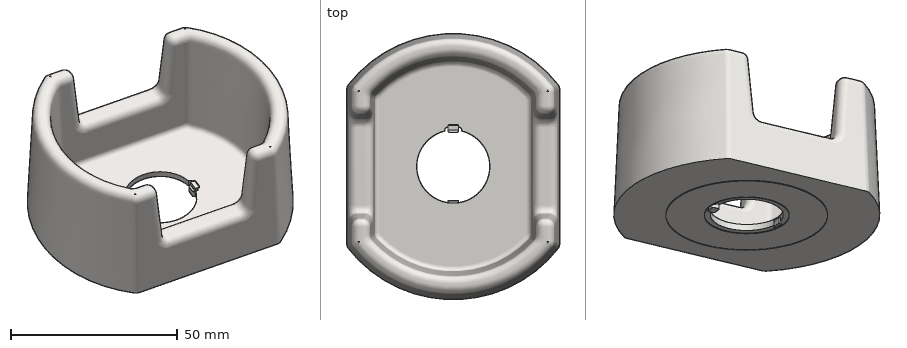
import cadquery as cq
import math

TOTAL_HEIGHT = 39.0
BODY_HEIGHT = 37.95
OUTER_RADIUS = 39.95
OUTER_WIDTH = 64.0
DRAFT_SLOPE = math.tan(math.radians(2.5))
CORNER_RADIUS = 2.5
RIM_RADIUS = 2.4

FLOOR_HEIGHT = 2.0
CAVITY_RADIUS = 31.5
CAVITY_WIDTH = 46.8
FLOOR_FILLET = 1.6

NOTCH_BOTTOM = 15.9
NOTCH_HALF_LENGTH = 14.05
NOTCH_SLOPE = math.tan(math.radians(4.6))
NOTCH_TOP_HALF_LENGTH = NOTCH_HALF_LENGTH + NOTCH_SLOPE * (BODY_HEIGHT - NOTCH_BOTTOM)

RING_OUTER_RADIUS = 48.6 / 2
RING_INNER_RADIUS = 25.5 / 2
RING_DEPTH = 0.2

HOLE_RADIUS = 10.95
KEYWAY_WIDTH = 4.95
KEYWAY_END_Y = 11.75
KEYWAY_CORNER_RADIUS = 0.6

KEY_DEPTH = TOTAL_HEIGHT - BODY_HEIGHT
KEY_WIDTH = 3.3
KEY_INNER = 10.2
KEY_OUTER = 12.6
KEY_CORNER_RADIUS = 0.55
KEY_RISE = 0.2
KEY_CHAMFER = 0.3
LIP_TOP = FLOOR_HEIGHT / 2
LIP_OUTER = HOLE_RADIUS + 0.1

REACH = 2 * OUTER_RADIUS
MARGIN = 0.8


def drafted_cup(radius, width, bottom, top, slope):
    """Cone between two flats; radius and width hold at the bottom and change upwards by the slope."""
    growth = slope * (top - bottom)
    half_width = width / 2
    cone = (
        cq.Workplane("XZ")
        .moveTo(0, bottom)
        .lineTo(radius, bottom)
        .lineTo(radius + growth, top)
        .lineTo(0, top)
        .close()
        .revolve(360, (0, 0, 0), (0, 1, 0))
    )
    wedge = (
        cq.Workplane("XZ")
        .moveTo(-half_width, bottom)
        .lineTo(half_width, bottom)
        .lineTo(half_width + growth, top)
        .lineTo(-half_width - growth, top)
        .close()
        .extrude(REACH, both=True)
    )
    cup = cone.intersect(wedge)

    middle = (bottom + top) / 2
    mid_height = cq.selectors.BoxSelector(
        (-REACH, -REACH, middle - MARGIN),
        (REACH, REACH, middle + MARGIN),
    )
    return cup.edges(mid_height).fillet(CORNER_RADIUS)


def shell():
    outer = drafted_cup(OUTER_RADIUS, OUTER_WIDTH, 0, BODY_HEIGHT, -DRAFT_SLOPE)
    cavity = drafted_cup(CAVITY_RADIUS, CAVITY_WIDTH, FLOOR_HEIGHT, BODY_HEIGHT, DRAFT_SLOPE)
    cavity = cavity.faces("<Z").edges().fillet(FLOOR_FILLET)
    return outer.cut(cavity)


def notch():
    return (
        cq.Workplane("YZ")
        .moveTo(-NOTCH_HALF_LENGTH, NOTCH_BOTTOM)
        .lineTo(NOTCH_HALF_LENGTH, NOTCH_BOTTOM)
        .lineTo(NOTCH_TOP_HALF_LENGTH, BODY_HEIGHT)
        .lineTo(-NOTCH_TOP_HALF_LENGTH, BODY_HEIGHT)
        .close()
        .extrude(REACH, both=True)
        .faces("<Z")
        .edges("|X")
        .fillet(CORNER_RADIUS)
    )


def round_rim(cup):
    """Round the top rim and the notch edges together, so the rounds blend at the tips."""
    notch_zone = cq.selectors.BoxSelector(
        (-REACH, -NOTCH_TOP_HALF_LENGTH, NOTCH_BOTTOM - MARGIN),
        (REACH, NOTCH_TOP_HALF_LENGTH, BODY_HEIGHT - MARGIN),
    )
    notch_edges = cup.edges(notch_zone).edges("not |X")
    top_edges = cup.faces(">Z").edges()
    return notch_edges.add(top_edges).fillet(RIM_RADIUS)


def base_ring():
    return (
        cq.Workplane("XY")
        .circle(RING_OUTER_RADIUS)
        .circle(RING_INNER_RADIUS)
        .extrude(-RING_DEPTH)
    )


def keyed_hole():
    bore = cq.Workplane("XY").circle(HOLE_RADIUS).extrude(FLOOR_HEIGHT)
    keyway = (
        cq.Workplane("XY")
        .center(0, KEYWAY_END_Y / 2)
        .rect(KEYWAY_WIDTH, KEYWAY_END_Y)
        .extrude(FLOOR_HEIGHT)
        .edges("|Z and >Y")
        .fillet(KEYWAY_CORNER_RADIUS)
    )
    return bore.union(keyway)


def key_block(y_start, y_end, top):
    """Block as wide as a key, from the key tip below the base up to the given level."""
    return (
        cq.Workplane("XY", origin=(0, (y_start + y_end) / 2, -KEY_DEPTH))
        .rect(KEY_WIDTH, y_end - y_start)
        .extrude(KEY_DEPTH + top)
    )


def upper_key():
    """Stepped key on the +Y side: a low lip in the hole and a post that rises above the floor."""
    lip = key_block(KEY_INNER, KEY_OUTER, LIP_TOP)
    post = key_block(HOLE_RADIUS, KEY_OUTER, FLOOR_HEIGHT + KEY_RISE)
    key = lip.union(post).edges("|Z and (<Y or >Y)").fillet(KEY_CORNER_RADIUS)
    chamfer = (
        cq.Workplane("YZ")
        .moveTo(KEY_OUTER, FLOOR_HEIGHT + KEY_RISE)
        .lineTo(KEY_OUTER - KEY_CHAMFER, FLOOR_HEIGHT + KEY_RISE)
        .lineTo(KEY_OUTER, FLOOR_HEIGHT)
        .close()
        .extrude(KEY_WIDTH, both=True)
    )
    return key.cut(chamfer)


def lower_key():
    """Low lip on the -Y side that grips the hole wall with its rounded outer side."""
    lip = key_block(-LIP_OUTER, -KEY_INNER, LIP_TOP)
    return lip.edges("|Z and <Y").fillet(KEY_CORNER_RADIUS)


result = (
    round_rim(shell().cut(notch()))
    .cut(keyed_hole())
    .union(base_ring())
    .union(lower_key())
    .union(upper_key())
)